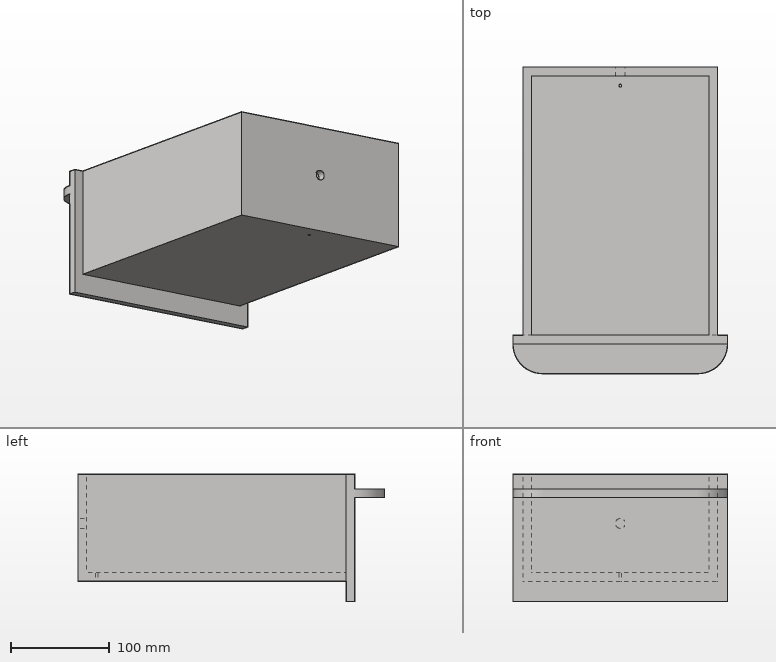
import cadquery as cq

board = 9.0
total_length = 310.0
panel_width = 217.0
panel_height = 129.0
box_width = 197.0
box_height = 108.5

handle_depth = 30.0
handle_width = panel_width
handle_drop = 15.0
handle_radius = handle_depth

back_hole_diameter = 10.0
back_hole_drop = 50.0
floor_hole_diameter = 2.5
floor_hole_offset = 10.0

panel_front = handle_depth
box_front = panel_front + board
box_length = total_length - box_front
box_bottom = panel_height - box_height
inner_back = total_length - board


def block(width, y_start, length, z_bottom, height):
    """Block centred on X, placed by its front and bottom faces."""
    return (
        cq.Workplane("XY")
        .box(width, length, height, centered=(True, False, False))
        .translate((0, y_start, z_bottom))
    )


def make_box():
    """Open-topped box whose front is closed by the panel."""
    outer = block(box_width, box_front, box_length, box_bottom, box_height)
    cavity = block(
        box_width - 2 * board,
        box_front,
        box_length - board,
        box_bottom + board,
        box_height - board,
    )
    return outer.cut(cavity)


def make_handle():
    """Flat shelf with rounded outer corners, rooted through the panel thickness."""
    handle_bottom = panel_height - handle_drop - board
    shelf = block(handle_width, 0, handle_depth + board, handle_bottom, board)
    return shelf.edges("|Z and <Y").fillet(handle_radius)


def back_hole():
    """Cutter through the back board, along Y."""
    return (
        cq.Workplane("XZ", origin=(0, total_length, panel_height - back_hole_drop))
        .circle(back_hole_diameter / 2)
        .extrude(board)
    )


def floor_hole():
    """Cutter through the floor board, along Z."""
    return (
        cq.Workplane("XY", origin=(0, inner_back - floor_hole_offset, box_bottom))
        .circle(floor_hole_diameter / 2)
        .extrude(board)
    )


panel = block(panel_width, panel_front, board, 0, panel_height)
result = make_box().union(panel).union(make_handle())
result = result.cut(back_hole()).cut(floor_hole())